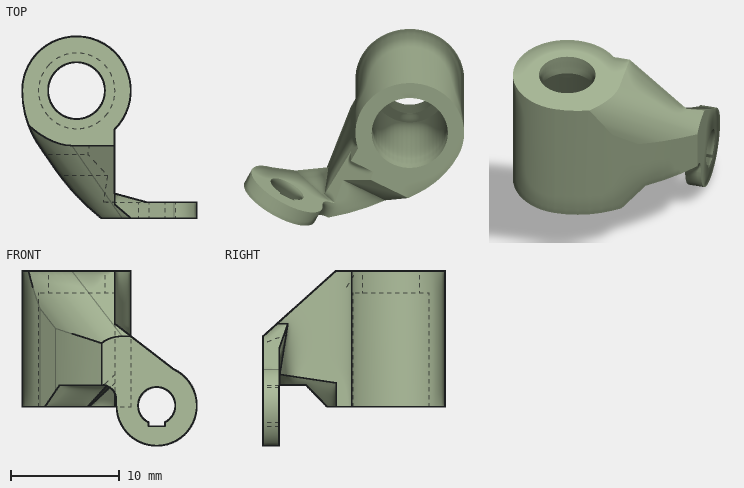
import cadquery as cq
import math

HUB_RADIUS = 5.0
HUB_HEIGHT = 12.5
BORE_RADIUS = 2.6
COUNTERBORE_RADIUS = 3.5
BORE_LAND = 2.0
SIDE_X = 3.5

FRONT_Y = -11.75
WALL_ANGLE = 34.7
WALL_START_Y = -5.13
WALL_LENGTH = 2.52
ARM_TIP_X = 2.3
SLOPE_START_Y = -5.05
SLOPE_END_Z = 6.48
SHOULDER_RADIUS = 4.0
ARM_BOTTOM_Z = 2.0
UNDERCUT_START_Y = -5.84
UNDERCUT_RUN = 1.95

PLATE_THICKNESS = 1.5
EYE_RADIUS = 3.7
EYE_X = 7.37
EYE_Z = 0.11
EYE_HOLE_RADIUS = 1.7
KEY_WIDTH = 1.5
KEY_DEPTH = 1.89
EDGE_TOP_Z = 7.65
EDGE_END_ANGLE = 65.0
CORNER_RADIUS = 1.36

CAVITY_ANGLE = 43.0
CAVITY_X = 1.15
CAVITY_DRAFT = 6.3
GUSSET_TOE = -0.31
GUSSET_LENGTH = 4.5
GUSSET_ANGLE = 12.3

REACH = 30.0

PLATE_BACK_Y = FRONT_Y + PLATE_THICKNESS


def box(x_range, y_range, z_range):
    """Axis-aligned box from its limits."""
    size = [high - low for low, high in (x_range, y_range, z_range)]
    corner = (x_range[0], y_range[0], z_range[0])
    return cq.Workplane("XY").box(*size, centered=False).translate(corner)


def wall_arc_radius():
    """Radius of the arc tangent to the hub's -X side and the straight wall."""
    return -WALL_START_Y / math.sin(math.radians(WALL_ANGLE))


def wall_points():
    """Start and end of the straight part of the outer wall, in plan."""
    angle = math.radians(WALL_ANGLE)
    start_x = -HUB_RADIUS + wall_arc_radius() * (1 - math.cos(angle))
    end_x = start_x + WALL_LENGTH * math.sin(angle)
    end_y = WALL_START_Y - WALL_LENGTH * math.cos(angle)
    return (start_x, WALL_START_Y), (end_x, end_y)


def prism_body():
    """Hub and arm as one plan outline, full height."""
    wall_start, wall_end = wall_points()
    arm = (
        cq.Workplane("XY")
        .moveTo(0, 0)
        .lineTo(-HUB_RADIUS, 0)
        .radiusArc(wall_start, -wall_arc_radius())
        .lineTo(*wall_end)
        .tangentArcPoint((ARM_TIP_X, FRONT_Y), relative=False)
        .lineTo(SIDE_X, FRONT_Y)
        .lineTo(SIDE_X, 0)
        .close()
        .extrude(HUB_HEIGHT)
    )
    return cq.Workplane("XY").circle(HUB_RADIUS).extrude(HUB_HEIGHT).union(arm)


def top_envelope():
    """Space under the sloping top, its edge rounded along the outer wall."""
    wall_start, _ = wall_points()
    drift = math.tan(math.radians(WALL_ANGLE))
    rear_x = wall_start[0] - drift * (REACH - wall_start[1])
    front_x = wall_start[0] + drift * (REACH + wall_start[1])
    plan = [(rear_x, REACH), (REACH, REACH), (REACH, -REACH), (front_x, -REACH)]
    space = cq.Workplane("XY").workplane(offset=-REACH).polyline(plan).close().extrude(3 * REACH)

    fall = (HUB_HEIGHT - SLOPE_END_Z) / (SLOPE_START_Y - FRONT_Y)
    rear_z = HUB_HEIGHT + fall * (REACH - SLOPE_START_Y)
    front_z = HUB_HEIGHT - fall * (REACH + SLOPE_START_Y)
    under_slope = (
        cq.Workplane("YZ")
        .polyline([(-REACH, -REACH), (REACH, -REACH), (REACH, rear_z), (-REACH, front_z)])
        .close()
        .extrude(REACH, both=True)
    )
    wall_edge = cq.selectors.NearestToPointSelector(
        ((rear_x + front_x) / 2, 0, (rear_z + front_z) / 2)
    )
    return space.intersect(under_slope).edges(wall_edge).fillet(SHOULDER_RADIUS)


def underside_cut():
    """Inclined step that raises the arm's underside off the base."""
    return (
        cq.Workplane("YZ")
        .moveTo(UNDERCUT_START_Y, 0)
        .lineTo(UNDERCUT_START_Y - UNDERCUT_RUN, ARM_BOTTOM_Z)
        .lineTo(-REACH, ARM_BOTTOM_Z)
        .lineTo(-REACH, 0)
        .close()
        .extrude(REACH, both=True)
    )


def cavity_prism(section):
    """Prism along the cavity wall; section is (distance from wall, Y past the hub flat)."""
    angle = math.radians(CAVITY_ANGLE)
    plane = cq.Plane(
        origin=(CAVITY_X, -HUB_RADIUS, 0),
        xDir=(math.sin(angle), 0, -math.cos(angle)),
        normal=(math.cos(angle), 0, math.sin(angle)),
    )
    return cq.Workplane(plane).polyline(section).close().extrude(REACH, both=True)


def cavity():
    """Open space under the arm, between the hub's front flat and the plate."""
    depth = PLATE_BACK_Y + HUB_RADIUS
    draft = depth * math.tan(math.radians(CAVITY_DRAFT))
    return cavity_prism([(0, 0), (REACH, 0), (REACH, depth), (draft, depth)])


def plate_profile(length):
    """Plate outline without its hole, extruded back from the front face."""
    plane = cq.Plane(origin=(0, FRONT_Y, 0), xDir=(1, 0, 0), normal=(0, -1, 0))
    angle = math.radians(EDGE_END_ANGLE)
    edge_end = (EYE_X + EYE_RADIUS * math.cos(angle), EYE_Z + EYE_RADIUS * math.sin(angle))
    eye_left = EYE_X - EYE_RADIUS
    neck = (
        cq.Workplane(plane)
        .moveTo(eye_left - CORNER_RADIUS, ARM_BOTTOM_Z)
        .lineTo(eye_left - CORNER_RADIUS, EDGE_TOP_Z)
        .lineTo(SIDE_X, EDGE_TOP_Z)
        .lineTo(*edge_end)
        .lineTo(EYE_X, EYE_Z)
        .lineTo(eye_left, EYE_Z)
        .lineTo(eye_left, ARM_BOTTOM_Z - CORNER_RADIUS)
        .radiusArc((eye_left - CORNER_RADIUS, ARM_BOTTOM_Z), -CORNER_RADIUS)
        .close()
        .extrude(-length)
    )
    eye = cq.Workplane(plane).center(EYE_X, EYE_Z).circle(EYE_RADIUS).extrude(-length)
    return neck.union(eye)


def gusset():
    """Thin wedge that thickens the plate toward the arm."""
    back = PLATE_BACK_Y + HUB_RADIUS
    rise = GUSSET_LENGTH * math.tan(math.radians(GUSSET_ANGLE))
    heel = GUSSET_TOE - GUSSET_LENGTH
    wedge = cavity_prism([(GUSSET_TOE, back), (heel, back), (heel, back + rise)])
    return plate_profile(PLATE_THICKNESS + rise).intersect(wedge)


def keyed_hole():
    """Round hole through the plate with a key slot at its bottom."""
    y_range = (FRONT_Y, PLATE_BACK_Y)
    plane = cq.Plane(origin=(EYE_X, FRONT_Y, EYE_Z), xDir=(1, 0, 0), normal=(0, -1, 0))
    hole = cq.Workplane(plane).circle(EYE_HOLE_RADIUS).extrude(-PLATE_THICKNESS)
    x_range = (EYE_X - KEY_WIDTH / 2, EYE_X + KEY_WIDTH / 2)
    return hole.union(box(x_range, y_range, (EYE_Z - KEY_DEPTH, EYE_Z)))


def stepped_bore():
    """Narrow bore through the hub, widened from below."""
    bore = cq.Workplane("XY").circle(BORE_RADIUS).extrude(HUB_HEIGHT)
    wide = cq.Workplane("XY").circle(COUNTERBORE_RADIUS).extrude(HUB_HEIGHT - BORE_LAND)
    return bore.union(wide)


body = prism_body().cut(underside_cut()).cut(cavity())
body = body.union(plate_profile(PLATE_THICKNESS)).union(gusset())
body = body.intersect(top_envelope())
result = body.cut(keyed_hole()).cut(stepped_bore())